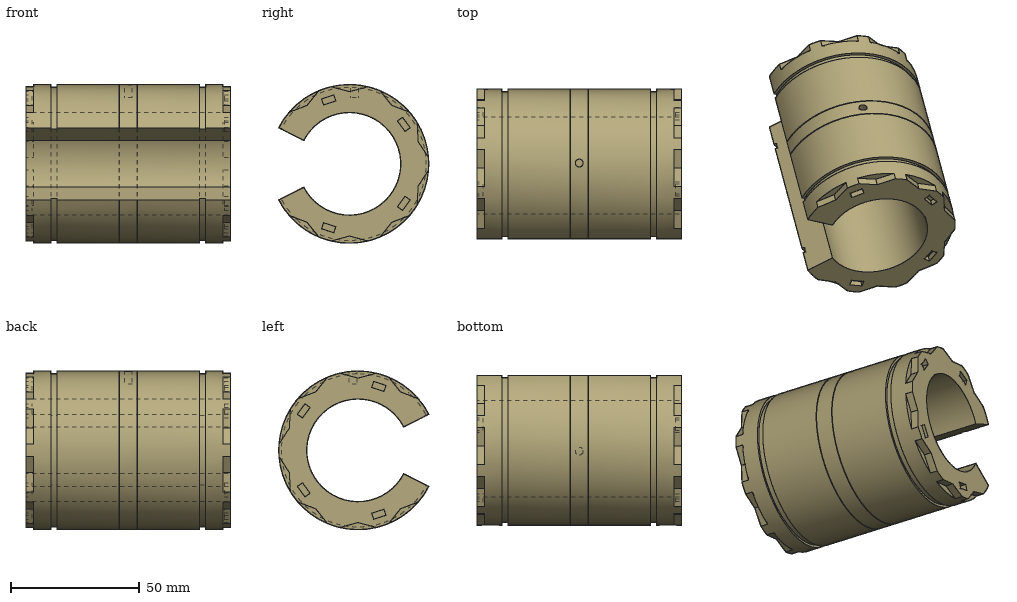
import cadquery as cq
import math

length = 80.0
outer_diameter = 62.0
bore_diameter = 40.0
mouth_half_angle = 27.0

ring_groove_width = 2.4
ring_groove_depth = 1.0
ring_groove_inset = 9.8

fine_groove_width = 0.2
fine_groove_depth = 0.1
fine_groove_offset = 3.5

oil_hole_diameter = 3.0
oil_hole_y = 2.0
oil_hole_depth = 5.0

notch_pitch_angle = 36.0
notch_count = 8
notch_length = 3.0
notch_depth = 2.8
notch_flank_angle = 15.0

pocket_pitch_angle = 72.0
pocket_count = 4
pocket_tangential = 5.0
pocket_radial = 2.5
pocket_depth = 2.5
pocket_circle_radius = 26.2

outer_radius = outer_diameter / 2
half_length = length / 2
clearance = 0.8


def ring(center_x, width, outer, inner):
    """Ring around the X axis, centred along X at center_x."""
    start = cq.Workplane("YZ").workplane(offset=center_x - width / 2)
    return start.circle(outer).circle(inner).extrude(width)


def at_both_ends(cutter):
    """Cutter made for the -X end, together with its mirror image for the +X end."""
    return cutter.union(cutter.mirror("YZ"))


def mouth_wedge():
    """Wedge from the axis outwards that opens the sleeve towards -Y."""
    reach = 2 * outer_radius
    half_width = reach * math.tan(math.radians(mouth_half_angle))
    corners = [(0, 0), (-reach, half_width), (-reach, -half_width)]
    return cq.Workplane("YZ").polyline(corners).close().extrude(half_length, both=True)


def groove(center_x, width, depth):
    """Groove cutter for the outer surface."""
    return ring(center_x, width, outer_radius + clearance, outer_radius - depth)


def angle_in_row(index, count, pitch):
    """Rotation about X, from +Y, of one item in a row centred opposite the mouth."""
    return (index - (count - 1) / 2) * pitch


def rim_notch(angle):
    """V notch that points at the axis, turned by an angle from +Y."""
    tip = outer_radius - notch_depth
    rise = 2 * notch_depth
    half_width = rise / math.tan(math.radians(notch_flank_angle))
    corners = [(tip, 0), (tip + rise, half_width), (tip + rise, -half_width)]
    face = cq.Workplane("YZ").workplane(offset=-half_length)
    notch = face.polyline(corners).close().extrude(notch_length)
    return notch.rotate((0, 0, 0), (1, 0, 0), angle)


def end_pocket(angle):
    """Rectangular pocket with its long side tangential, turned by an angle from +Y."""
    face = cq.Workplane("YZ").workplane(offset=-half_length)
    pocket = face.center(pocket_circle_radius, 0).rect(pocket_radial, pocket_tangential).extrude(pocket_depth)
    return pocket.rotate((0, 0, 0), (1, 0, 0), angle)


def oil_hole():
    """Vertical flat-bottomed hole cutter, reaching above the outer surface."""
    floor = cq.Workplane("XY").workplane(offset=outer_radius - oil_hole_depth)
    return floor.center(0, oil_hole_y).circle(oil_hole_diameter / 2).extrude(2 * oil_hole_depth)


result = ring(0, length, outer_radius, bore_diameter / 2).cut(mouth_wedge())

ring_groove_x = half_length - ring_groove_inset - ring_groove_width / 2
for side in (-1, 1):
    result = result.cut(groove(side * ring_groove_x, ring_groove_width, ring_groove_depth))
    result = result.cut(groove(side * fine_groove_offset, fine_groove_width, fine_groove_depth))

result = result.cut(oil_hole())

for index in range(notch_count):
    notch_angle = angle_in_row(index, notch_count, notch_pitch_angle)
    result = result.cut(at_both_ends(rim_notch(notch_angle)))

for index in range(pocket_count):
    pocket_angle = angle_in_row(index, pocket_count, pocket_pitch_angle)
    result = result.cut(at_both_ends(end_pocket(pocket_angle)))